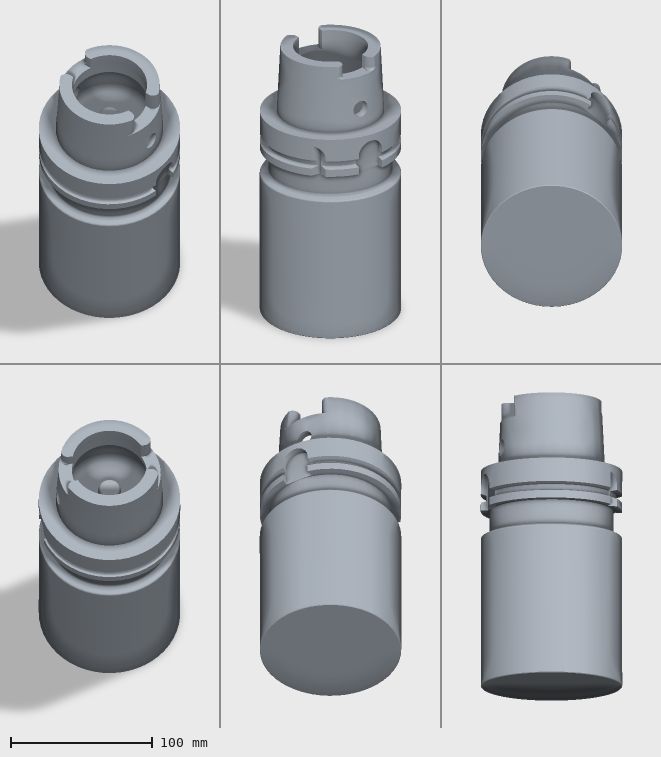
import cadquery as cq
import math


SHANK_TOP_Z = 50.0
SHANK_BASE_RADIUS = 38.0
SHANK_TOP_RADIUS = 35.5

TOTAL_LENGTH = 204.9
BODY_BOTTOM_Z = SHANK_TOP_Z - TOTAL_LENGTH
BODY_RADIUS = 100.0 / 2
BODY_SHOULDER_Z = -48.0
BODY_SHOULDER_ROUND = 1.5
BODY_BOTTOM_CHAMFER = 0.5
FLANGE_BOTTOM_Z = -28.8
NECK_RADIUS = 87.5 / 2
NECK_BOTTOM_Z = -45.4
NECK_ROUND = 1.0

GROOVE_CENTRE_Z = -20.1
GROOVE_FLOOR_RADIUS = 46.0
GROOVE_FLOOR_WIDTH = 3.7
GROOVE_MOUTH_WIDTH = 6.4

BORE_MOUTH_RADIUS = 53.06 / 2
BORE_MOUTH_BOTTOM_Z = 30.6
BORE_WIDE_RADIUS = 63.09 / 2
BORE_WIDE_BOTTOM_Z = 11.0
BORE_FLOOR_RADIUS = 25.0
BORE_FLOOR_ROUND = BORE_WIDE_RADIUS - BORE_FLOOR_RADIUS
BORE_FLOOR_Z = BORE_WIDE_BOTTOM_Z - BORE_FLOOR_ROUND

PIN_RADIUS = 16.0 / 2
PIN_SHOULDER_Z = 12.4
PIN_TIP_RADIUS = 7.15
PIN_TIP_Z = 15.6
PIN_TIP_ROUND = 1.5

ACCESS_HOLE_RADIUS = 12.0 / 2
ACCESS_HOLE_Z = 15.0

SLOT_WIDTH = 20.0
SHALLOW_SLOT_DEPTH = 10.0
DEEP_SLOT_DEPTH = 15.0
TAB_CORNER_RADIUS = 5.0
TAB_CORNER_WRAP = 40.0
TAB_FACE_X = 32.2
COVE_RADIUS = 2.0

KEYWAY_RADIUS = SLOT_WIDTH / 2
KEYWAY_TOP_Z = -4.8
KEYWAY_FLOOR = 44.0
NOTCH_FLOOR = 31.8
NOTCH_EDGE_Y = 31.6

CUT_REACH = BODY_RADIUS + 5.0


def turned_outside():
    """Solid of revolution for the whole outer profile, groove included."""
    profile = (
        cq.Workplane("XZ")
        .moveTo(0, BODY_BOTTOM_Z)
        .lineTo(BODY_RADIUS - BODY_BOTTOM_CHAMFER, BODY_BOTTOM_Z)
        .lineTo(BODY_RADIUS, BODY_BOTTOM_Z + BODY_BOTTOM_CHAMFER)
        .lineTo(BODY_RADIUS, BODY_SHOULDER_Z)
        .lineTo(NECK_RADIUS, NECK_BOTTOM_Z)
        .lineTo(NECK_RADIUS, FLANGE_BOTTOM_Z)
        .lineTo(BODY_RADIUS, FLANGE_BOTTOM_Z)
        .lineTo(BODY_RADIUS, GROOVE_CENTRE_Z - GROOVE_MOUTH_WIDTH / 2)
        .lineTo(GROOVE_FLOOR_RADIUS, GROOVE_CENTRE_Z - GROOVE_FLOOR_WIDTH / 2)
        .lineTo(GROOVE_FLOOR_RADIUS, GROOVE_CENTRE_Z + GROOVE_FLOOR_WIDTH / 2)
        .lineTo(BODY_RADIUS, GROOVE_CENTRE_Z + GROOVE_MOUTH_WIDTH / 2)
        .lineTo(BODY_RADIUS, 0)
        .lineTo(SHANK_BASE_RADIUS, 0)
        .lineTo(SHANK_TOP_RADIUS, SHANK_TOP_Z)
        .lineTo(0, SHANK_TOP_Z)
        .close()
    )
    turned = profile.revolve(360, (0, 0), (0, 1))
    for edge_z, round_radius in (
        (BODY_SHOULDER_Z, BODY_SHOULDER_ROUND),
        (NECK_BOTTOM_Z, NECK_ROUND),
    ):
        margin = 0.1
        edge_finder = cq.selectors.BoxSelector(
            (-CUT_REACH, -CUT_REACH, edge_z - margin),
            (CUT_REACH, CUT_REACH, edge_z + margin),
            boundingbox=True,
        )
        turned = turned.edges(edge_finder).fillet(round_radius)
    return turned


def clamping_bore():
    """Undercut bore with a rounded floor, leaving the centre pin standing."""
    round_sag = BORE_FLOOR_ROUND * (1 - 0.5 ** 0.5)
    round_middle = (BORE_WIDE_RADIUS - round_sag, BORE_FLOOR_Z + round_sag)
    bore = (
        cq.Workplane("XZ")
        .moveTo(0, SHANK_TOP_Z)
        .lineTo(BORE_MOUTH_RADIUS, SHANK_TOP_Z)
        .lineTo(BORE_MOUTH_RADIUS, BORE_MOUTH_BOTTOM_Z)
        .lineTo(BORE_WIDE_RADIUS, BORE_MOUTH_BOTTOM_Z)
        .lineTo(BORE_WIDE_RADIUS, BORE_WIDE_BOTTOM_Z)
        .threePointArc(round_middle, (BORE_FLOOR_RADIUS, BORE_FLOOR_Z))
        .lineTo(0, BORE_FLOOR_Z)
        .close()
        .revolve(360, (0, 0), (0, 1))
    )
    return bore.cut(centre_pin())


def centre_pin():
    """Round pin that tapers slightly to a rounded tip."""
    return (
        cq.Workplane("XZ")
        .moveTo(0, BORE_FLOOR_Z)
        .lineTo(PIN_RADIUS, BORE_FLOOR_Z)
        .lineTo(PIN_RADIUS, PIN_SHOULDER_Z)
        .lineTo(PIN_TIP_RADIUS, PIN_TIP_Z)
        .lineTo(0, PIN_TIP_Z)
        .close()
        .revolve(360, (0, 0), (0, 1))
        .faces(">Z")
        .edges()
        .fillet(PIN_TIP_ROUND)
    )


def access_holes():
    """Radial holes through the shank wall; they stop short of the centre pin."""
    drill = (
        cq.Workplane("YZ", origin=(-CUT_REACH, 0, 0))
        .center(0, ACCESS_HOLE_Z)
        .circle(ACCESS_HOLE_RADIUS)
        .extrude(2 * CUT_REACH)
    )
    return drill.cut(cq.Workplane("XY").circle(BORE_FLOOR_RADIUS).extrude(SHANK_TOP_Z))


def drive_slot(depth, coved):
    """Cutter for the +X drive slot; it rounds the outer corners of the tabs."""
    half_width = SLOT_WIDTH / 2
    corner_x = TAB_FACE_X - TAB_CORNER_RADIUS
    corner_y = half_width + TAB_CORNER_RADIUS
    wrap = math.radians(TAB_CORNER_WRAP)
    arc_end_x = corner_x + TAB_CORNER_RADIUS * math.cos(wrap)
    arc_end_y = corner_y + TAB_CORNER_RADIUS * math.sin(wrap)
    flare_y = arc_end_y + (CUT_REACH - arc_end_x) * math.tan(wrap)
    floor_z = SHANK_TOP_Z - depth

    floor_plane = cq.Workplane("XY", origin=(0, 0, floor_z))
    cutter = (
        floor_plane
        .moveTo(0, -half_width)
        .lineTo(corner_x, -half_width)
        .threePointArc((TAB_FACE_X, -corner_y), (arc_end_x, -arc_end_y))
        .lineTo(CUT_REACH, -flare_y)
        .lineTo(CUT_REACH, flare_y)
        .lineTo(arc_end_x, arc_end_y)
        .threePointArc((TAB_FACE_X, corner_y), (corner_x, half_width))
        .lineTo(0, half_width)
        .close()
        .extrude(depth)
    )
    if coved:
        for side in (-1, 1):
            cutter = cutter.cut(corner_cove(corner_x, side * corner_y, floor_z))
        straight_slot = floor_plane.rect(CUT_REACH, SLOT_WIDTH).extrude(depth)
        straight_slot = straight_slot.translate((CUT_REACH / 2, 0, 0))
        cutter = cutter.union(straight_slot)
    return cutter


def corner_cove(x, y, floor_z):
    """Concave foot around a rounded tab corner."""
    foot_radius = TAB_CORNER_RADIUS + COVE_RADIUS
    sag = COVE_RADIUS * (1 - 0.5 ** 0.5)
    return (
        cq.Workplane("XZ")
        .lineTo(foot_radius, 0)
        .threePointArc((TAB_CORNER_RADIUS + sag, sag), (TAB_CORNER_RADIUS, COVE_RADIUS))
        .lineTo(0, COVE_RADIUS)
        .close()
        .revolve(360, (0, 0), (0, 1))
        .translate((x, y, floor_z))
    )


def flange_keyway(centre_y, floor_x):
    """Cutter for a round-topped keyway in the -X side of the flange."""
    arc_centre_z = KEYWAY_TOP_Z - KEYWAY_RADIUS
    return (
        cq.Workplane("YZ", origin=(-CUT_REACH, 0, 0))
        .moveTo(centre_y - KEYWAY_RADIUS, FLANGE_BOTTOM_Z)
        .lineTo(centre_y - KEYWAY_RADIUS, arc_centre_z)
        .threePointArc((centre_y, KEYWAY_TOP_Z), (centre_y + KEYWAY_RADIUS, arc_centre_z))
        .lineTo(centre_y + KEYWAY_RADIUS, FLANGE_BOTTOM_Z)
        .close()
        .extrude(CUT_REACH - floor_x)
    )


def half_turn(solid):
    """Turn a solid to the opposite side of the axis."""
    return solid.rotate((0, 0, 0), (0, 0, 1), 180)


keyway = flange_keyway(0, KEYWAY_FLOOR)
notch = flange_keyway(NOTCH_EDGE_Y + KEYWAY_RADIUS, NOTCH_FLOOR)

result = (
    turned_outside()
    .cut(clamping_bore())
    .cut(access_holes())
    .cut(drive_slot(DEEP_SLOT_DEPTH, coved=False))
    .cut(half_turn(drive_slot(SHALLOW_SLOT_DEPTH, coved=True)))
    .cut(keyway)
    .cut(half_turn(keyway))
    .cut(notch)
)